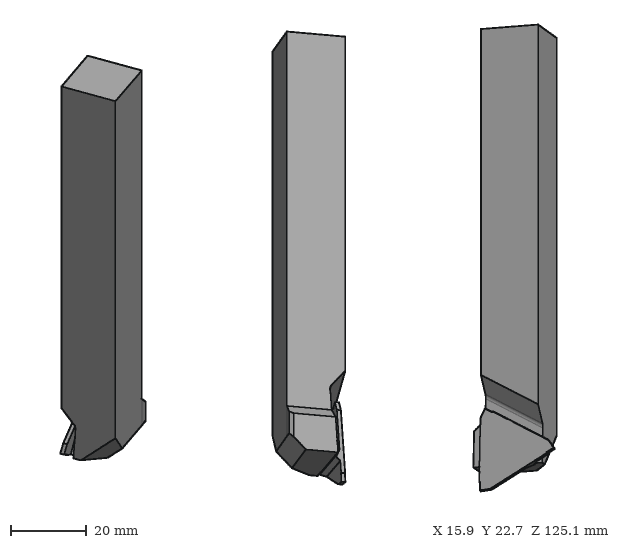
import cadquery as cq
import math

SHANK_SIDE = 15.9
SHANK_LENGTH = 118.0
FLANK_RELIEF = 0.1

LUG_DEPTH = 3.0
LUG_HEIGHT = 9.9
LUG_CORNER_X = 1.1
LUG_CORNER_Y = 0.6
OVERALL_DEPTH = SHANK_SIDE + LUG_DEPTH

CORNER_SETBACK = 4.4
BEVEL_SETBACK = 10.3
BEVEL_DEPTH = 4.1

POCKET_ANGLE = 30.0
SEAT_TILT = 4.4
SEAT_CENTER = (3.4, 9.3, 3.8)
POCKET_CORNER = 10.3
POCKET_WALL_ANGLE = 45.0 + SEAT_TILT
POCKET_CORNER_RADIUS = 1.3
POCKET_REACH = 37.5

TIP_COUNT = 3
INSERT_INRADIUS = 7.3
INSERT_THICKNESS = 2.4
TIP_REACH = 11.0
TIP_TRAIL = 10.8
TIP_STEP = 0.3
TIP_STEP_START = 8.6
TIP_RELIEF = 1.3
TIP_RELIEF_START = 5.3


def make_seat_plane():
    """Plane on the seat: x runs down the pocket towards the front, y up across it, z out of it."""
    slope = math.radians(POCKET_ANGLE)
    tilt = math.radians(SEAT_TILT)
    along = (0, -math.cos(slope), -math.sin(slope))
    outward = (
        -math.cos(tilt),
        -math.sin(tilt) * math.sin(slope),
        math.sin(tilt) * math.cos(slope),
    )
    return cq.Plane(origin=SEAT_CENTER, xDir=along, normal=outward)


SEAT = make_seat_plane()


def make_shank_blank():
    outline = [
        (0, 0),
        (SHANK_SIDE - FLANK_RELIEF, 0),
        (SHANK_SIDE, SHANK_SIDE),
        (0, SHANK_SIDE),
    ]
    return cq.Workplane("XY").polyline(outline).close().extrude(SHANK_LENGTH)


def make_lug():
    side = [
        (SHANK_SIDE, 0),
        (OVERALL_DEPTH, 0),
        (OVERALL_DEPTH, LUG_HEIGHT),
        (SHANK_SIDE, LUG_HEIGHT + LUG_DEPTH),
    ]
    lug = cq.Workplane("YZ").polyline(side).close().extrude(SHANK_SIDE)
    corner = [
        (SHANK_SIDE - LUG_CORNER_X, OVERALL_DEPTH),
        (SHANK_SIDE, OVERALL_DEPTH),
        (SHANK_SIDE, OVERALL_DEPTH - LUG_CORNER_Y),
    ]
    return lug.cut(cq.Workplane("XY").polyline(corner).close().extrude(LUG_HEIGHT + LUG_DEPTH))


def end_triangle(y, setback):
    """Right-angled 45 degree section of the end cuts, in the plane at this Y."""
    corners = [
        cq.Vector(SHANK_SIDE - setback, y, 0),
        cq.Vector(SHANK_SIDE, y, 0),
        cq.Vector(SHANK_SIDE, y, setback),
    ]
    return cq.Wire.makePolygon(corners, close=True)


def make_end_cut(front_y, front_setback, back_y, back_setback):
    sections = [end_triangle(front_y, front_setback), end_triangle(back_y, back_setback)]
    return cq.Workplane(cq.Solid.makeLoft(sections, True))


def make_pocket_cutter():
    wall_run = POCKET_REACH / math.tan(math.radians(POCKET_WALL_ANGLE))
    profile_plane = cq.Plane(origin=SEAT_CENTER, xDir=SEAT.yDir, normal=SEAT.xDir)
    profile = [
        (POCKET_CORNER, 0),
        (POCKET_CORNER + wall_run, POCKET_REACH),
        (-POCKET_REACH, POCKET_REACH),
        (-POCKET_REACH, 0),
    ]
    corner_edge = cq.selectors.NearestToPointSelector(SEAT.toWorldCoords((0, POCKET_CORNER, 0)))
    return (
        cq.Workplane(profile_plane)
        .polyline(profile)
        .close()
        .extrude(POCKET_REACH, both=True)
        .edges(corner_edge)
        .fillet(POCKET_CORNER_RADIUS)
    )


def make_holder():
    blank = make_shank_blank().union(make_lug())
    corner_cut = make_end_cut(0, CORNER_SETBACK, OVERALL_DEPTH, CORNER_SETBACK)
    front_bevel = make_end_cut(0, BEVEL_SETBACK, BEVEL_DEPTH, CORNER_SETBACK)
    return blank.cut(corner_cut).cut(front_bevel).cut(make_pocket_cutter()).solids()


def rotated(point, angle):
    turn = math.radians(angle)
    x, y = point
    return (x * math.cos(turn) - y * math.sin(turn), x * math.sin(turn) + y * math.cos(turn))


def insert_outline():
    trail_y = 2 * (TIP_TRAIL * math.sin(math.pi / TIP_COUNT) - INSERT_INRADIUS)
    tip = [
        (-TIP_STEP_START, INSERT_INRADIUS),
        (-TIP_STEP_START, INSERT_INRADIUS - TIP_STEP),
        (-TIP_REACH, INSERT_INRADIUS - TIP_STEP),
        (-TIP_TRAIL, trail_y),
    ]
    return [rotated(point, 360 / TIP_COUNT * i) for i in range(TIP_COUNT) for point in tip]


def make_tip_relief(angle):
    """Wedge-ended slab that thins the seat side of one tip, with a 45 degree run-out."""
    beyond = 2 * TIP_REACH
    section = [
        (-TIP_RELIEF_START + TIP_RELIEF, 0),
        (-TIP_RELIEF_START, TIP_RELIEF),
        (-beyond, TIP_RELIEF),
        (-beyond, 0),
    ]
    slab = cq.Workplane("XZ").polyline(section).close().extrude(beyond, both=True)
    return slab.rotate((0, 0, 0), (0, 0, 1), angle)


def make_insert():
    insert = cq.Workplane("XY").polyline(insert_outline()).close().extrude(INSERT_THICKNESS)
    for i in range(TIP_COUNT):
        insert = insert.cut(make_tip_relief(360 / TIP_COUNT * i))
    return cq.Workplane(insert.solids().val().moved(cq.Location(SEAT)))


holder = make_holder()
insert = make_insert()
result = cq.Compound.makeCompound([holder.val(), insert.val()])